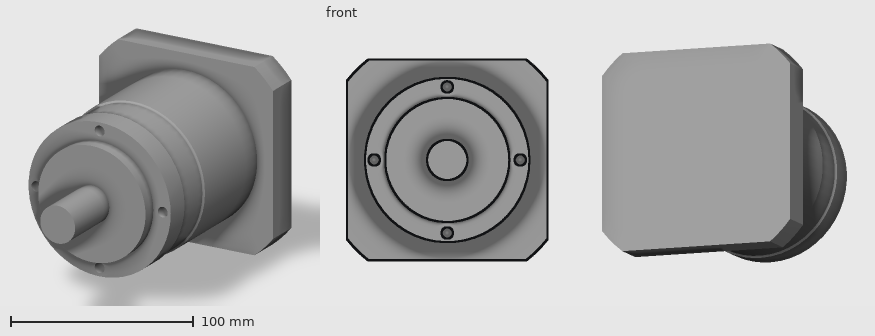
import cadquery as cq


FLANGE_WIDTH = 110.0
FLANGE_CORNER_DIAMETER = 140.0
FLANGE_THICKNESS = 20.0

HOUSING_DIAMETER = 90.0
WAIST_DIAMETER = 88.0
BEVEL = (HOUSING_DIAMETER - WAIST_DIAMETER) / 2
REAR_HOUSING_END = 77.0
WAIST_LENGTH = 20.2
FRONT_HOUSING_START = REAR_HOUSING_END + BEVEL + WAIST_LENGTH + BEVEL
FRONT_HOUSING_LENGTH = 15.0
FRONT_FACE = FRONT_HOUSING_START + FRONT_HOUSING_LENGTH

PILOT_DIAMETER = 68.0
PILOT_LENGTH = 8.5
SHAFT_DIAMETER = 22.0
TOTAL_LENGTH = 160.0

HOLE_COUNT = 4
HOLE_DIAMETER = 6.2
HOLE_DEPTH = FRONT_HOUSING_LENGTH
BOLT_CIRCLE_DIAMETER = 80.0


def front_plane(distance):
    """Plane facing -Y at the given distance in front of the flange's rear face."""
    return cq.Workplane(cq.Plane(origin=(0, -distance, 0), xDir=(1, 0, 0), normal=(0, -1, 0)))


def make_flange():
    square = front_plane(0).rect(FLANGE_WIDTH, FLANGE_WIDTH).extrude(FLANGE_THICKNESS)
    corner_round = front_plane(0).circle(FLANGE_CORNER_DIAMETER / 2).extrude(FLANGE_THICKNESS)
    return square.intersect(corner_round)


def make_turned_body():
    """Housing, pilot and shaft as one half profile revolved about the Y axis."""
    housing_radius = HOUSING_DIAMETER / 2
    waist_radius = WAIST_DIAMETER / 2
    pilot_radius = PILOT_DIAMETER / 2
    shaft_radius = SHAFT_DIAMETER / 2
    pilot_end = FRONT_FACE + PILOT_LENGTH
    profile = [
        (0, 0),
        (housing_radius, 0),
        (housing_radius, -REAR_HOUSING_END),
        (waist_radius, -(REAR_HOUSING_END + BEVEL)),
        (waist_radius, -(FRONT_HOUSING_START - BEVEL)),
        (housing_radius, -FRONT_HOUSING_START),
        (housing_radius, -FRONT_FACE),
        (pilot_radius, -FRONT_FACE),
        (pilot_radius, -pilot_end),
        (shaft_radius, -pilot_end),
        (shaft_radius, -TOTAL_LENGTH),
        (0, -TOTAL_LENGTH),
    ]
    return cq.Workplane("XY").polyline(profile).close().revolve(360, (0, 0, 0), (0, 1, 0))


def make_mounting_holes():
    return (
        front_plane(FRONT_FACE)
        .polarArray(BOLT_CIRCLE_DIAMETER / 2, 0, 360, HOLE_COUNT)
        .circle(HOLE_DIAMETER / 2)
        .extrude(-HOLE_DEPTH)
    )


result = make_flange().union(make_turned_body()).cut(make_mounting_holes())